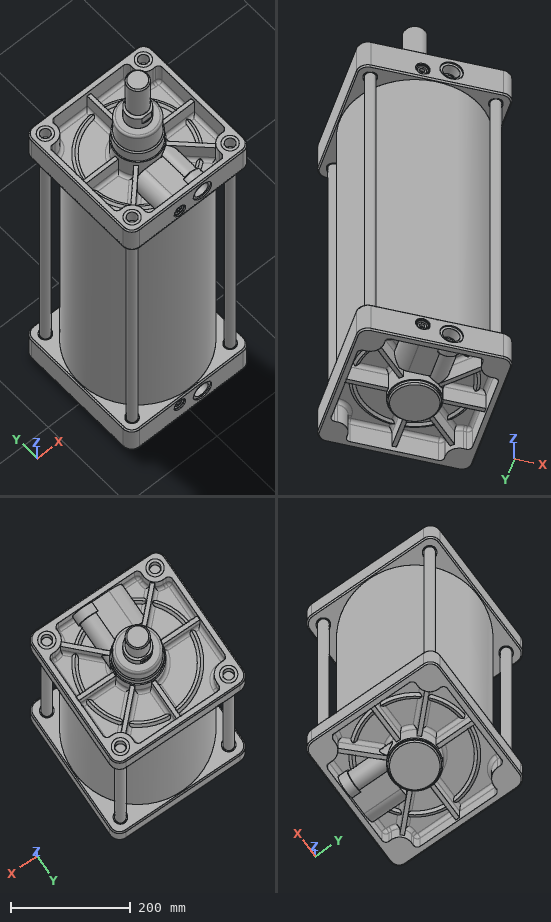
import cadquery as cq
import math


TOTAL_LENGTH = 897.0
CAP_SIDE = 270.0
CAP_HEIGHT = 61.0
CAP_CORNER_RADIUS = 20.0
CAP_EDGE_CHAMFER = 3.0
REAR_CAP_BOTTOM = 8.0
FRONT_CAP_TOP = 709.5
BARREL_DIAMETER = 262.0
FRONT_CAP_BOTTOM = FRONT_CAP_TOP - CAP_HEIGHT
REAR_CAP_TOP = REAR_CAP_BOTTOM + CAP_HEIGHT

TIE_OFFSET = 109.0
TIE_DIAMETER = 20.0
TIE_MOUTH_DIAMETER = 24.0
TIE_MOUTH_DEPTH = 2.0
TIE_REAR_DEPTH = 27.0
TIE_HEAD_DIAMETER = 30.5
TIE_HEAD_LENGTH = 36.0
TIE_BORE_DIAMETER = 20.0
TIE_BORE_DEPTH = 27.0
TIE_POINTS = [(x, y) for x in (-TIE_OFFSET, TIE_OFFSET) for y in (-TIE_OFFSET, TIE_OFFSET)]

POCKET_SIDE = 246.0
WALL = (CAP_SIDE - POCKET_SIDE) / 2
PAD_START = 85.0
PAD_RADIUS = TIE_OFFSET - PAD_START
POCKET_DEPTH = 49.0
POCKET_FLOOR = CAP_HEIGHT - POCKET_DEPTH
POCKET_CORNER_RADIUS = 8.0
FLOOR_FILLET = 7.0
RIB_WIDTH = 8.0
RIB_DROP = 11.0
RIB_TOP = CAP_HEIGHT - RIB_DROP
RIB_ANGLES = (0, 45, 90, 180, 225, 315)
HUB_DIAMETER = 94.0
RIDGE_RADIUS = 105.0
RIDGE_HALF_WIDTH = 5.0
RIDGE_HEIGHT = 4.0

PORT_X = 25.0
PORT_Z = CAP_HEIGHT / 2
PORT_MOUTH_DIAMETER = 40.0
PORT_MOUTH_DEPTH = 3.0
PORT_THREAD_DIAMETER = 30.5
PORT_THREAD_DEPTH = 22.0
PORT_BORE_DIAMETER = 24.0
PORT_BORE_DEPTH = 45.0
DRILL_POINT_ANGLE = 118.0
PORT_BOSS_DIAMETER = 41.0
PORT_BOSS_DEPTH = 121.0
PORT_RIM_DIAMETER = 47.0
PORT_RIM_DEPTH = 30.5
CUSHION_X = -25.0
CUSHION_DROP = 10.0
CUSHION_Z = PORT_Z - CUSHION_DROP
CUSHION_MOUTH_DIAMETER = 25.0
CUSHION_MOUTH_DEPTH = 3.0
CUSHION_BORE_DIAMETER = 21.0
CUSHION_BORE_DEPTH = 9.0
CUSHION_SCREW_DIAMETER = 16.0
CUSHION_SCREW_HEIGHT = 4.5
CUSHION_SOCKET_DIAMETER = 9.0
CUSHION_SOCKET_DEPTH = 5.0
CUSHION_BOSS_DIAMETER = 54.0
CUSHION_BOSS_DEPTH = 88.0

COLLAR_DIAMETER = 90.0
COLLAR_TOP = 736.0
COLLAR_CHAMFER = 3.0
NECK_DIAMETER = 84.0
NECK_TOP = 782.0
NECK_FILLET = 4.5
ROD_DIAMETER = 50.0
ROD_SHOULDER = 812.0
FLAT_BOTTOM = 796.0
FLATS_ACROSS = 46.0
THREAD_DIAMETER = 42.0
THREAD_START = 817.0
THREAD_CHAMFER = 3.0
UNDERCUT_DIAMETER = 36.0


def disc(diameter, bottom, top):
    """Upright cylinder about the Z axis."""
    return cq.Workplane("XY").workplane(offset=bottom).circle(diameter / 2).extrude(top - bottom)


def block(size_x, size_y, bottom, top):
    """Upright block centred on the Z axis."""
    return cq.Workplane("XY").workplane(offset=bottom).rect(size_x, size_y).extrude(top - bottom)


def side_cylinder(x, z, diameter, start_depth, end_depth):
    """Cylinder running inward (+Y) between two depths below the -Y face of the cap."""
    plane = cq.Workplane("XZ", origin=(x, start_depth - CAP_SIDE / 2, z))
    return plane.circle(diameter / 2).extrude(start_depth - end_depth)


def pocket_outline():
    """Square pocket space that steps inward around a round-nosed pad at each tie rod."""
    space = block(POCKET_SIDE, 2 * PAD_START, POCKET_FLOOR, CAP_HEIGHT).union(
        block(2 * PAD_START, POCKET_SIDE, POCKET_FLOOR, CAP_HEIGHT)
    )
    nose_reach = PAD_START + PAD_RADIUS / 2
    near_noses = cq.selectors.BoxSelector(
        (-nose_reach, -nose_reach, 0), (nose_reach, nose_reach, CAP_HEIGHT)
    )
    upright = cq.selectors.ParallelDirSelector(cq.Vector(0, 0, 1))
    space = space.edges(upright - near_noses).fillet(POCKET_CORNER_RADIUS)
    return space.edges(upright & near_noses).fillet(PAD_RADIUS)


def ribs():
    """Straight and diagonal ribs running out from the central hub."""
    length = CAP_SIDE / 2
    rib = cq.Workplane("XY").box(length, RIB_WIDTH, RIB_TOP, centered=(False, True, False))
    first, *others = [rib.rotate((0, 0, 0), (0, 0, 1), angle) for angle in RIB_ANGLES]
    for other in others:
        first = first.union(other)
    return first


def pocket():
    """Space of the pocket, between the ribs and around the hub, with a rounded floor edge."""
    space = pocket_outline().cut(disc(HUB_DIAMETER, 0, CAP_HEIGHT)).cut(ribs())
    return space.faces("<Z").edges().fillet(FLOOR_FILLET)


def floor_ridge():
    """Low ring with a triangular section on the pocket floor."""
    section = cq.Workplane("XZ").polyline([
        (RIDGE_RADIUS - RIDGE_HALF_WIDTH, POCKET_FLOOR),
        (RIDGE_RADIUS + RIDGE_HALF_WIDTH, POCKET_FLOOR),
        (RIDGE_RADIUS, POCKET_FLOOR + RIDGE_HEIGHT),
    ]).close()
    return section.revolve(360, (0, 0, 0), (0, 1, 0))


def side_bosses():
    """Round bosses around the port and cushion bores, joined by a flat web."""
    port = side_cylinder(PORT_X, PORT_Z, PORT_BOSS_DIAMETER, WALL, PORT_BOSS_DEPTH)
    port_rim = side_cylinder(PORT_X, PORT_Z, PORT_RIM_DIAMETER, WALL, PORT_RIM_DEPTH)
    cushion = side_cylinder(CUSHION_X, CUSHION_Z, CUSHION_BOSS_DIAMETER, WALL, CUSHION_BOSS_DEPTH)
    web = cq.Workplane("XY", origin=(CUSHION_X, WALL - CAP_SIDE / 2, 0)).box(
        PORT_X - CUSHION_X,
        CUSHION_BOSS_DEPTH - WALL,
        CUSHION_Z + CUSHION_BOSS_DIAMETER / 2,
        centered=False,
    )
    inside = block(CAP_SIDE, CAP_SIDE, 0, CAP_HEIGHT)
    return port.union(port_rim).union(cushion).union(web).intersect(inside)


def port_bore():
    """Stepped port bore that ends in a drill point."""
    mouth = side_cylinder(PORT_X, PORT_Z, PORT_MOUTH_DIAMETER, 0, PORT_MOUTH_DEPTH)
    thread = side_cylinder(PORT_X, PORT_Z, PORT_THREAD_DIAMETER, 0, PORT_THREAD_DEPTH)
    bore = side_cylinder(PORT_X, PORT_Z, PORT_BORE_DIAMETER, 0, PORT_BORE_DEPTH)
    radius = PORT_BORE_DIAMETER / 2
    point = cq.Solid.makeCone(
        radius,
        0,
        radius / math.tan(math.radians(DRILL_POINT_ANGLE / 2)),
        pnt=cq.Vector(PORT_X, PORT_BORE_DEPTH - CAP_SIDE / 2, PORT_Z),
        dir=cq.Vector(0, 1, 0),
    )
    return mouth.union(thread).union(bore).union(cq.Workplane(point))


def cushion_bore():
    """Recess holding a raised cushion screw with a round socket."""
    screw_top = CUSHION_BORE_DEPTH - CUSHION_SCREW_HEIGHT
    socket_end = screw_top + CUSHION_SOCKET_DEPTH
    mouth = side_cylinder(CUSHION_X, CUSHION_Z, CUSHION_MOUTH_DIAMETER, 0, CUSHION_MOUTH_DEPTH)
    bore = side_cylinder(CUSHION_X, CUSHION_Z, CUSHION_BORE_DIAMETER, 0, CUSHION_BORE_DEPTH)
    screw = side_cylinder(CUSHION_X, CUSHION_Z, CUSHION_SCREW_DIAMETER, screw_top, CUSHION_BORE_DEPTH)
    socket = side_cylinder(CUSHION_X, CUSHION_Z, CUSHION_SOCKET_DIAMETER, screw_top, socket_end)
    return mouth.union(bore).cut(screw).union(socket)


def end_cap():
    cap = block(CAP_SIDE, CAP_SIDE, 0, CAP_HEIGHT).edges("|Z").fillet(CAP_CORNER_RADIUS)
    cap = cap.faces("<Z or >Z").chamfer(CAP_EDGE_CHAMFER)
    above_ribs = block(CAP_SIDE, CAP_SIDE, RIB_TOP, CAP_HEIGHT)
    hub = disc(HUB_DIAMETER, 0, CAP_HEIGHT)
    opening = pocket_outline().intersect(above_ribs).cut(hub)
    cap = cap.cut(pocket()).cut(opening)
    cap = cap.union(floor_ridge()).union(side_bosses())
    return cap.cut(port_bore()).cut(cushion_bore())


def tie_rod_outline():
    """Unbored rod from inside the rear cap to a head flush with the front cap."""
    head_bottom = FRONT_CAP_TOP - TIE_HEAD_LENGTH
    rod = disc(TIE_DIAMETER, REAR_CAP_TOP - TIE_REAR_DEPTH, head_bottom)
    return rod.union(disc(TIE_HEAD_DIAMETER, head_bottom, FRONT_CAP_TOP))


def tie_rod(x, y):
    bore = disc(TIE_BORE_DIAMETER, FRONT_CAP_TOP - TIE_BORE_DEPTH, FRONT_CAP_TOP)
    return tie_rod_outline().cut(bore).translate((x, y, 0))


def tie_rod_space(x, y):
    """Fitting hole for a tie rod, with a shallow wider mouth in the inner face of each cap."""
    mouths = disc(TIE_MOUTH_DIAMETER, REAR_CAP_TOP - TIE_MOUTH_DEPTH, FRONT_CAP_BOTTOM + TIE_MOUTH_DEPTH)
    return tie_rod_outline().union(mouths).translate((x, y, 0))


def piston_rod():
    rod = disc(ROD_DIAMETER, NECK_TOP, ROD_SHOULDER)
    flats = block(ROD_DIAMETER, FLATS_ACROSS, FLAT_BOTTOM, ROD_SHOULDER)
    rod = rod.intersect(disc(ROD_DIAMETER, NECK_TOP, FLAT_BOTTOM).union(flats))
    undercut = disc(UNDERCUT_DIAMETER, ROD_SHOULDER, THREAD_START)
    thread = disc(THREAD_DIAMETER, THREAD_START, TOTAL_LENGTH).faces(">Z").chamfer(THREAD_CHAMFER)
    return rod.union(undercut).union(thread)


def cylinder_body():
    cap = end_cap()
    front_cap = cap.translate((0, 0, FRONT_CAP_BOTTOM))
    rear_cap = cap.mirror("XY").translate((0, 0, REAR_CAP_TOP))
    barrel = disc(BARREL_DIAMETER, REAR_CAP_TOP, FRONT_CAP_BOTTOM)
    front_collar = disc(COLLAR_DIAMETER, FRONT_CAP_BOTTOM, COLLAR_TOP).faces(">Z").chamfer(COLLAR_CHAMFER)
    rear_collar = disc(COLLAR_DIAMETER, 0, REAR_CAP_TOP).faces("<Z").chamfer(COLLAR_CHAMFER)
    neck = disc(NECK_DIAMETER, FRONT_CAP_BOTTOM, NECK_TOP).faces(">Z").edges().fillet(NECK_FILLET)
    body = front_cap.union(barrel).union(rear_cap)
    for piece in (front_collar, rear_collar, neck, piston_rod()):
        body = body.union(piece)
    for x, y in TIE_POINTS:
        body = body.cut(tie_rod_space(x, y))
    return body


body = cylinder_body()
tie_rods = [tie_rod(x, y) for x, y in TIE_POINTS]
result = cq.Compound.makeCompound([body.val(), *[rod.val() for rod in tie_rods]])